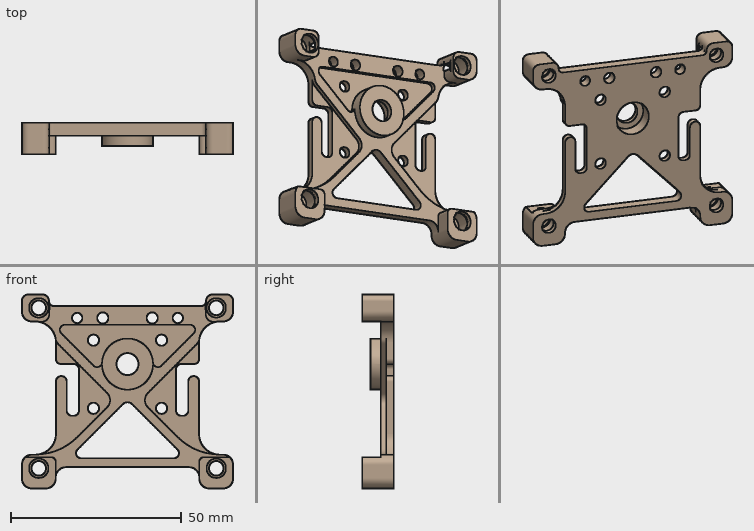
import cadquery as cq

web_thickness = 2.3
rib_thickness = 3.9
boss_height = 6.9
post_height = 9.3

half_width = 31.0
upper_post_size = 8.0
lower_post_size = 10.0
lower_post_relief = 0.75
top_z = 20.45
bottom_z = -36.5
post_round = 3.0
upper_post_round = 2.0
relief_round = 1.5

screw_x = 26.05
upper_screw_z = top_z - 3.95
lower_screw_z = bottom_z + 5.95
screw_diameter = 4.2
screw_mouth_diameter = 5.7
screw_mouth_depth = 2.0
screw_cavity_diameter = 6.4
screw_seat_height = 2.0

upper_post_inner_x = half_width - upper_post_size
lower_post_inner_x = half_width - lower_post_size
upper_post_bottom_z = top_z - upper_post_size
lower_post_top_z = bottom_z + lower_post_size
plate_half_width = lower_post_inner_x
plate_top_z = 17.05
plate_bottom_z = -30.25
plate_top_fillet = 1.35
plate_bottom_fillet = 3.0
side_fillet = 6.0

rib_inner_z = -10.4
side_lower_edge_z = -6.7
side_upper_edge_z = -14.45
rib_crotch_round = 3.0
rib_shoulder_round = 3.0
rib_foot_round = 17.35

window_bottom_z = -27.6
pocket_top_z = 11.55
triangle_round = 1.5
pocket_tuck = 0.05
window_apex_round = 2.0

hook_tip_z = -3.5
finger_width = 3.2
slot_width = 3.55
slot_bottom_z = -15.1
slot_round = 1.5

boss_diameter = 15.0
bore_diameter = 6.4
seat_diameter = 10.0
seat_depth = 4.95

row_z = 13.5
row_outer_x = 14.75
row_outer_diameter = 3.0
row_inner_x = 7.25
pattern_half_pitch = 10.0
pattern_center_z = -3.0
pattern_diameter = 3.2

overlap = 0.6


def sketch_plane(height=0.0):
    """Plane at a height above the back face, with its normal toward the front."""
    return cq.Workplane("XZ", origin=(0, -height, 0))


def box(x_min, x_max, z_min, z_max, height, base=0.0):
    """Block standing on a height above the back face."""
    return (
        sketch_plane(base)
        .moveTo((x_min + x_max) / 2, (z_min + z_max) / 2)
        .rect(x_max - x_min, z_max - z_min)
        .extrude(height - base)
    )


def prism(points, height, base=0.0):
    """Straight-sided prism standing on a height above the back face."""
    return sketch_plane(base).polyline(points).close().extrude(height - base)


def cylinder(x, z, diameter, height, base=0.0):
    return sketch_plane(base).moveTo(x, z).circle(diameter / 2).extrude(height - base)


def round_corners(body, radius, corners):
    """Round the edges parallel to Y that stand at the given (x, z) corners."""
    tolerance = 0.03
    for x, z in corners:
        selector = cq.selectors.BoxSelector(
            (x - tolerance, -post_height - overlap, z - tolerance),
            (x + tolerance, overlap, z + tolerance),
        )
        body = body.edges("|Y").edges(selector).fillet(radius)
    return body


def both_sides(body):
    """Add the mirror image across the YZ plane."""
    return body.union(body.mirror("YZ"))


def left_outline(height, base=0.0):
    """Left half of one layer of the plate, with the footprints of its posts."""
    points = [
        (0, plate_top_z),
        (-upper_post_inner_x, plate_top_z),
        (-upper_post_inner_x, top_z),
        (-half_width, top_z),
        (-half_width, upper_post_bottom_z),
        (-plate_half_width, upper_post_bottom_z),
        (-plate_half_width, lower_post_top_z),
        (-half_width, lower_post_top_z),
        (-half_width, bottom_z),
        (-lower_post_inner_x, bottom_z),
        (-lower_post_inner_x, plate_bottom_z),
        (0, plate_bottom_z),
    ]
    body = prism(points, height, base)
    body = round_corners(body, plate_top_fillet, points[1:2])
    body = round_corners(body, upper_post_round, points[2:4])
    body = round_corners(body, post_round, [points[4]] + points[7:10])
    body = round_corners(body, side_fillet, points[5:7])
    return round_corners(body, plate_bottom_fillet, points[10:11])


def left_rib_layer():
    """Raised layer whose side recess leaves the upper and lower diagonal ribs."""
    crotch_x = -(side_lower_edge_z - side_upper_edge_z) / 2
    crotch = (crotch_x, crotch_x + side_lower_edge_z)
    shoulder = (-plate_half_width, plate_half_width + side_upper_edge_z)
    foot = (lower_post_top_z - side_lower_edge_z, lower_post_top_z)
    outside_x = -half_width - overlap
    points = [
        crotch,
        (shoulder[0] - overlap, shoulder[1] + overlap),
        (outside_x, shoulder[1] + overlap),
        (outside_x, lower_post_top_z),
        foot,
    ]
    recess = prism(points, rib_thickness, web_thickness)
    recess = round_corners(recess, rib_crotch_round, [crotch])
    recess = round_corners(recess, rib_foot_round, [foot])
    layer = left_outline(rib_thickness, web_thickness).cut(recess)
    return round_corners(layer, rib_shoulder_round, [shoulder])


def left_hook_slot():
    """L-shaped slot that frees the hook finger."""
    finger_inner_x = -plate_half_width + finger_width
    slot_inner_x = finger_inner_x + slot_width
    outside_x = -plate_half_width - overlap
    slot = box(finger_inner_x, slot_inner_x, slot_bottom_z, 0, rib_thickness)
    mouth = box(outside_x, slot_inner_x, hook_tip_z - finger_width / 2, 0, rib_thickness)
    slot = slot.union(mouth).clean()
    slot = round_corners(
        slot,
        slot_round,
        [(slot_inner_x, 0), (slot_inner_x, slot_bottom_z), (finger_inner_x, slot_bottom_z)],
    )
    tip_center_z = hook_tip_z - finger_width / 2
    tip_x = -plate_half_width + finger_width / 2
    finger_tip = cylinder(tip_x, tip_center_z, finger_width, rib_thickness)
    return slot.cut(finger_tip)


def left_posts():
    upper_corners = [(-half_width, top_z), (-upper_post_inner_x, top_z),
                     (-upper_post_inner_x, upper_post_bottom_z)]
    upper = box(-half_width, -upper_post_inner_x, upper_post_bottom_z, top_z, post_height)
    upper = round_corners(upper, upper_post_round, upper_corners)
    upper = round_corners(upper, post_round, [(-half_width, upper_post_bottom_z)])

    lower = box(-half_width, -lower_post_inner_x, bottom_z, lower_post_top_z, post_height)
    lower = round_corners(
        lower,
        post_round,
        [(-half_width, lower_post_top_z), (-half_width, bottom_z), (-lower_post_inner_x, bottom_z)],
    )
    relieved_top_z = lower_post_top_z - lower_post_relief
    envelope = box(-half_width, -lower_post_inner_x, bottom_z, relieved_top_z, post_height)
    envelope = round_corners(envelope, relief_round, [(-lower_post_inner_x, relieved_top_z)])
    return upper.union(lower.intersect(envelope))


def window():
    """Triangular opening between the lower ribs."""
    half_base = rib_inner_z - window_bottom_z
    apex = (0, rib_inner_z)
    base_corners = [(-half_base, window_bottom_z), (half_base, window_bottom_z)]
    opening = prism([apex] + base_corners, rib_thickness)
    opening = round_corners(opening, window_apex_round, [apex])
    return round_corners(opening, triangle_round, base_corners)


def pocket():
    """Triangular pocket between the upper ribs, wrapped around the boss."""
    half_top = pocket_top_z - rib_inner_z
    bottom_z = rib_inner_z / 2
    half_bottom = bottom_z - rib_inner_z
    points = [
        (-half_top, pocket_top_z),
        (half_top, pocket_top_z),
        (half_bottom, bottom_z),
        (-half_bottom, bottom_z),
    ]
    recess = prism(points, rib_thickness + overlap, web_thickness)
    recess = recess.cut(cylinder(0, 0, boss_diameter - 2 * pocket_tuck, boss_height))
    return recess.edges("|Y").fillet(triangle_round)


def left_screw_holes():
    cavity_top = post_height - screw_mouth_depth
    holes = cq.Workplane()
    for z in (upper_screw_z, lower_screw_z):
        holes = holes.add(cylinder(-screw_x, z, screw_diameter, post_height))
        holes = holes.add(cylinder(-screw_x, z, screw_mouth_diameter, post_height, screw_seat_height))
        holes = holes.add(cylinder(-screw_x, z, screw_cavity_diameter, cavity_top, screw_seat_height))
    return holes.combine()


def left_small_holes():
    holes = cylinder(-row_outer_x, row_z, row_outer_diameter, rib_thickness)
    holes = holes.union(cylinder(-row_inner_x, row_z, pattern_diameter, rib_thickness))
    for side in (-1, 1):
        z = pattern_center_z + side * pattern_half_pitch
        holes = holes.union(cylinder(-pattern_half_pitch, z, pattern_diameter, rib_thickness))
    return holes


left_half = left_outline(web_thickness).cut(left_hook_slot())
tab_corner = (-plate_half_width, 0)
left_half = round_corners(left_half, slot_round, [tab_corner])
left_half = left_half.union(left_rib_layer()).union(left_posts())
left_half = left_half.cut(left_screw_holes()).cut(left_small_holes())

plate = both_sides(left_half).cut(window()).cut(pocket())

boss = cylinder(0, 0, boss_diameter, boss_height)
bore = cylinder(0, 0, bore_diameter, boss_height)
bearing_seat = cylinder(0, 0, seat_diameter, seat_depth)
result = plate.union(boss).cut(bore).cut(bearing_seat)